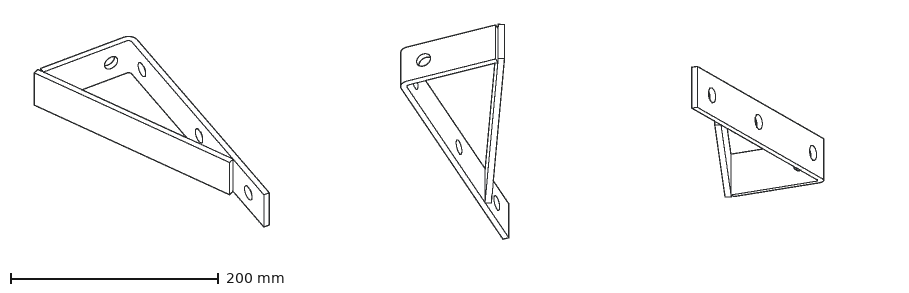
import cadquery as cq
import math

length = 266.7
depth = 110.2
width = 41.3
thickness = 6.1

brace_angle = math.radians(25.5)
weld_overlap = 0.13
brace_corner_y = thickness * math.cos(brace_angle) - depth
brace_rise = weld_overlap - thickness - brace_corner_y
brace_length = brace_rise / math.sin(brace_angle)

short_leg = weld_overlap - brace_corner_y - thickness * math.tan(brace_angle)
outer_bend_radius = 9.5
inner_bend_radius = outer_bend_radius - thickness

hole_diameter = 14.5
long_leg_holes = (29.3, 140.5, 236.3)
short_leg_hole = 27.0


def make_strap():
    """Flat strap bent to an L, with its outer corner at the origin."""
    outline = (
        cq.Workplane("XY")
        .moveTo(length, 0)
        .lineTo(outer_bend_radius, 0)
        .radiusArc((0, -outer_bend_radius), -outer_bend_radius)
        .lineTo(0, -short_leg)
        .lineTo(thickness, -short_leg)
        .lineTo(thickness, -outer_bend_radius)
        .radiusArc((outer_bend_radius, -thickness), inner_bend_radius)
        .lineTo(length, -thickness)
        .close()
    )
    return outline.extrude(width)


def make_brace():
    """Square-ended flat bar, tilted about its upper left corner."""
    bar = cq.Workplane("XY").box(brace_length, thickness, width, centered=False)
    bar = bar.translate((0, -thickness, 0))
    bar = bar.rotate((0, 0, 0), (0, 0, 1), math.degrees(brace_angle))
    return bar.translate((0, brace_corner_y, 0))


def make_holes():
    """Cutters for the bolt holes, on the middle of the strap width."""
    radius = hole_diameter / 2
    middle = width / 2
    cutters = cq.Workplane("XY")
    for x in long_leg_holes:
        start = cq.Vector(x, 0, middle)
        cutters = cutters.add(cq.Solid.makeCylinder(radius, thickness, start, cq.Vector(0, -1, 0)))
    start = cq.Vector(0, -short_leg_hole, middle)
    return cutters.add(cq.Solid.makeCylinder(radius, thickness, start, cq.Vector(1, 0, 0)))


strap = make_strap()
for cutter in make_holes().vals():
    strap = strap.cut(cq.Workplane(cutter))

result = strap.union(make_brace())